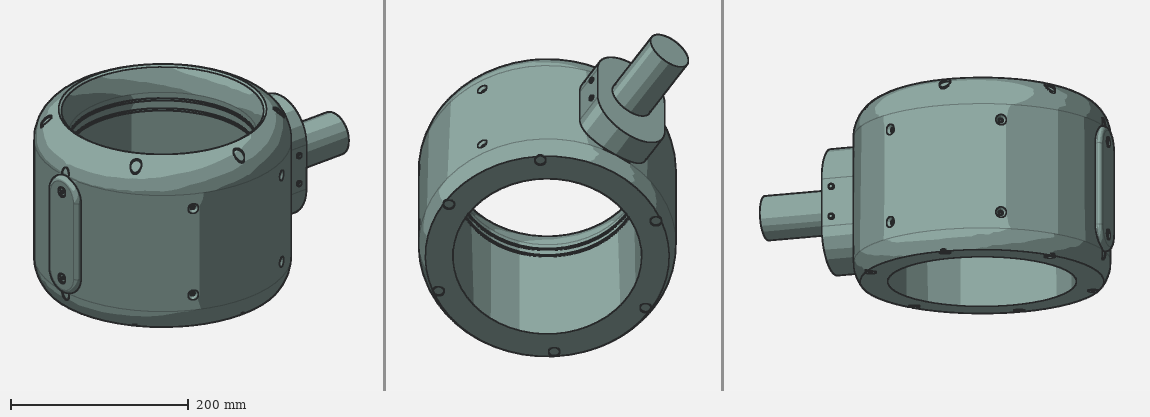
import cadquery as cq
import math

ring_diameter = 290.0
ring_radius = ring_diameter / 2
bore_radius = 106.2
ring_height = 206.5
wall_height = ring_radius
wall_bottom = 23.5
wall_top = wall_bottom + wall_height
mid_height = wall_bottom + wall_height / 2

end_round = 39.7
end_round_centre = ring_radius - end_round

rim_radius = 114.0
rim_drop = 2.0
flare_bottom = 176.8

groove_height = 3.0
groove_depth = 1.2
groove_levels = [155.0, 167.5]

recess_diameter = 12.5
recess_drop = 2.0
recess_circle_radius = 131.5
screw_angle = 27.0
recess_angles = [0, 2 * screw_angle, 180 - 2 * screw_angle]
recess_angles += [angle + 180 for angle in recess_angles]

screw_spacing = 108.0
screw_mouth_diameter = 12.0
wall_seat_diameter = 5.5
wall_seat_depth = 3.5
plate_seat_diameter = 9.7
plate_seat_depth = 1.5
socket_diameter = 3.2
socket_depth = 1.5

plate_width = 50.3
plate_face = 150.0
plate_round = 5.3

notch_width = 12.0
notch_reach = 10.0
notch_depth = 1.2

flange_width = 89.5
flange_end = 175.5
shaft_diameter = 50.5
shaft_end = 255.5

button_diameter = 6.5
button_height = 2.5
button_bevel = 1.0
button_spacing = 35.0
button_place = 164.0


def end_arc(rise):
    """Radius reached by a rounded end at a given rise beyond the straight wall."""
    return end_round_centre + math.sqrt(end_round**2 - rise**2)


def make_envelope(drop=0.0):
    """Solid ring envelope without its bore, with both rounded ends moved inwards by drop."""
    low, high = drop, ring_height - drop
    bottom_rise = wall_bottom
    top_rise = ring_height - wall_top
    return (
        cq.Workplane("XZ")
        .moveTo(0, low)
        .lineTo(end_arc(bottom_rise), low)
        .threePointArc(
            (end_arc(bottom_rise / 2), low + bottom_rise / 2),
            (ring_radius, low + bottom_rise),
        )
        .lineTo(ring_radius, high - top_rise)
        .threePointArc(
            (end_arc(top_rise / 2), high - top_rise / 2),
            (end_arc(top_rise), high),
        )
        .lineTo(0, high)
        .close()
        .revolve(360, (0, 0), (0, 1))
    )


def make_bore():
    """Straight bore, a flare that leaves its wall tangentially, and the bevel of the top rim."""
    rim_outer = end_arc(ring_height - wall_top)
    rim_bottom = ring_height - rim_drop
    flare_width = rim_radius - bore_radius
    flare_rise = rim_bottom - flare_bottom
    flare_radius = (flare_width**2 + flare_rise**2) / (2 * flare_width)
    half_rise = flare_rise / 2
    half_width = flare_radius - math.sqrt(flare_radius**2 - half_rise**2)
    return (
        cq.Workplane("XZ")
        .lineTo(bore_radius, 0)
        .lineTo(bore_radius, flare_bottom)
        .threePointArc(
            (bore_radius + half_width, flare_bottom + half_rise),
            (rim_radius, rim_bottom),
        )
        .lineTo(rim_outer, ring_height)
        .lineTo(0, ring_height)
        .close()
        .revolve(360, (0, 0), (0, 1))
    )


def make_groove(level):
    """Narrow groove around the bore, centred on the given height."""
    return (
        cq.Workplane("XY", origin=(0, 0, level - groove_height / 2))
        .circle(bore_radius + groove_depth)
        .extrude(groove_height)
    )


def make_end_recesses():
    """Shallow round recesses in both rounded ends; their floors follow the rounding."""
    places = [
        (
            recess_circle_radius * math.cos(math.radians(angle)),
            recess_circle_radius * math.sin(math.radians(angle)),
        )
        for angle in recess_angles
    ]
    columns = cq.Workplane("XY").pushPoints(places).circle(recess_diameter / 2).extrude(ring_height)
    return columns.cut(make_envelope(recess_drop))


def make_notches():
    """Shallow oval notches in both rounded ends, above and below the cover plate."""
    ovals = (
        cq.Workplane("XZ", origin=(0, 0, mid_height))
        .rarray(4, wall_height, 1, 2)
        .ellipse(notch_width / 2, notch_reach)
        .extrude(plate_face)
    )
    core = make_envelope().translate((0, notch_depth, 0))
    return ovals.cut(core)


def upright_slot(width, length_along_y):
    """Round-ended upright block as tall as the straight wall, running from the ring axis along Y."""
    return (
        cq.Workplane("XZ", origin=(0, 0, mid_height))
        .slot2D(wall_height, width, 90)
        .extrude(-length_along_y)
    )


def make_plate():
    """Cover plate on the front with a rounded face edge."""
    return upright_slot(plate_width, -plate_face).faces("<Y").edges().fillet(plate_round)


def make_shaft():
    """Round mounting shaft pointing towards +Y."""
    return (
        cq.Workplane("XZ", origin=(0, 0, mid_height))
        .circle(shaft_diameter / 2)
        .extrude(-shaft_end)
    )


def make_buttons():
    """Small bevelled pins standing out of both flat sides of the flange."""
    pins = (
        cq.Workplane("YZ", origin=(0, button_place, mid_height))
        .rarray(4, button_spacing, 1, 2)
        .circle(button_diameter / 2)
        .extrude(flange_width / 2 + button_height, both=True)
    )
    return pins.faces("<X or >X").edges().chamfer(button_bevel)


def make_screw_seats(distance, angle, seat_diameter, seat_depth):
    """Upper and lower conical screw seats with a central socket, pointing at the ring axis."""
    mouth = screw_mouth_diameter / 2
    seat = seat_diameter / 2
    socket = socket_diameter / 2
    floor = distance - seat_depth
    seat_shape = (
        cq.Workplane("XY")
        .moveTo(floor - socket_depth, 0)
        .lineTo(floor - socket_depth, socket)
        .lineTo(floor, socket)
        .lineTo(floor, seat)
        .lineTo(distance, mouth)
        .lineTo(distance + seat_depth, mouth)
        .lineTo(distance + seat_depth, 0)
        .close()
        .revolve(360, (0, 0), (1, 0))
        .rotate((0, 0, 0), (0, 0, 1), angle)
    )
    upper = seat_shape.translate((0, 0, mid_height + screw_spacing / 2))
    lower = seat_shape.translate((0, 0, mid_height - screw_spacing / 2))
    return upper.union(lower)


result = make_envelope().cut(make_end_recesses()).cut(make_notches())

for attached in (make_plate(), upright_slot(flange_width, flange_end), make_shaft(), make_buttons()):
    result = result.union(attached)

result = result.cut(make_bore())
for level in groove_levels:
    result = result.cut(make_groove(level))

for angle in (screw_angle, -screw_angle, 180 - screw_angle, 180 + screw_angle):
    result = result.cut(make_screw_seats(ring_radius, angle, wall_seat_diameter, wall_seat_depth))
result = result.cut(make_screw_seats(plate_face, -90, plate_seat_diameter, plate_seat_depth))